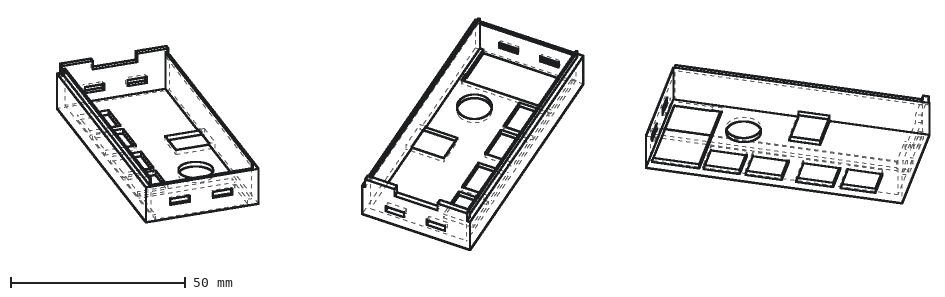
import cadquery as cq

length = 75.25
width = 34.25
rim_height = 11.3
floor_thickness = 1.5
side_wall = 1.9
left_wall = 1.65
right_wall = 1.0

lip_top = 13.3
lip_thickness = 0.45

plate_inset = 1.0
plate_top = 14.3
notch_width = 13.55
notch_bottom = 11.6
corner_post_length = 1.9

slot_bottom = 4.4
slot_height = 1.9
slot_length = 5.9
left_slot_starts = (8.0, 20.9)

window_row_y = 3.2
window_row_depth = 9.3
window_spans = ((8.65, 18.9), (21.0, 31.9), (36.1, 46.8), (48.45, 59.15))
back_window_span = (29.35, 38.45)
back_window_y = 22.35
back_window_top = 1.9
end_window_start = 60.35
end_window_back = 31.2
relief_length = 2.7
relief_depth = 0.2
round_hole_diameter = 10.0
round_hole_center = (52.1, 23.5)

inner_right = length - right_wall
inner_back = width - side_wall


def block(x_range, y_range, z_range):
    """Box spanning the given X, Y and Z ranges."""
    sizes = [end - start for start, end in (x_range, y_range, z_range)]
    corner = (x_range[0], y_range[0], z_range[0])
    return cq.Workplane("XY").box(*sizes, centered=False).translate(corner)


def floor_opening(x_range, y_range):
    """Cutter for a rectangular opening through the floor."""
    return block(x_range, y_range, (0, floor_thickness))


def make_tray():
    body = block((0, length), (0, width), (0, rim_height))
    cavity = block((left_wall, inner_right), (side_wall, inner_back), (floor_thickness, rim_height))
    return body.cut(cavity)


def add_lips(body):
    lip_rise = (rim_height, lip_top)
    for lip_start in (side_wall - lip_thickness, inner_back):
        lip_range = (lip_start, lip_start + lip_thickness)
        body = body.union(block((0, inner_right), lip_range, lip_rise))
    for post_start, post_end in ((plate_inset, side_wall), (inner_back, width - plate_inset)):
        body = body.union(block((0, corner_post_length), (post_start, post_end), lip_rise))
    return body


def add_end_plate(body):
    plate = block((0, left_wall), (plate_inset, width - plate_inset), (rim_height, plate_top))
    notch_start = (width - notch_width) / 2
    notch = block((0, left_wall), (notch_start, notch_start + notch_width), (notch_bottom, plate_top))
    return body.union(plate.cut(notch))


def cut_end_slots(body):
    slot_rise = (slot_bottom, slot_bottom + slot_height)
    for start in left_slot_starts:
        end = start + slot_length
        body = body.cut(block((0, left_wall), (start, end), slot_rise))
        body = body.cut(block((inner_right, length), (width - end, width - start), slot_rise))
    return body


def cut_floor(body):
    for span in window_spans:
        body = body.cut(floor_opening(span, (window_row_y, window_row_y + window_row_depth)))
    body = body.cut(block(back_window_span, (back_window_y, width), (0, back_window_top)))
    body = body.cut(floor_opening((end_window_start, inner_right), (window_row_y, end_window_back)))
    relief_x = (end_window_start, end_window_start + relief_length)
    relief_y = (end_window_back, end_window_back + relief_depth)
    body = body.cut(floor_opening(relief_x, relief_y))
    hole = cq.Workplane("XY").center(*round_hole_center).circle(round_hole_diameter / 2)
    return body.cut(hole.extrude(floor_thickness))


result = cut_floor(cut_end_slots(add_end_plate(add_lips(make_tray()))))